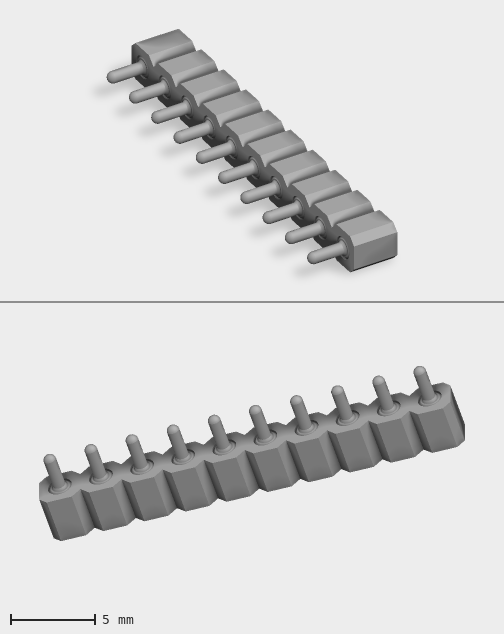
import cadquery as cq
import math

pin_count = 10
pitch = 2.55
body_length = pin_count * pitch
body_depth = 3.0
body_height = 2.55
end_chamfer = 0.45
notch_size = 0.53

shoulder_radius = 0.74
shoulder_bevel = 0.15
collar_radius = 0.48
collar_length = 0.15

stem_radius = 0.38
pin_reach = 2.41
tip_length = 0.3

first_pin_x = (pitch - body_length) / 2
pin_positions = [first_pin_x + i * pitch for i in range(pin_count)]
notch_positions = [x + pitch / 2 for x in pin_positions[:-1]]


def make_body():
    """Bar with chamfered ends; its front face lies on Y = 0."""
    body = cq.Workplane("XY").box(body_length, body_depth, body_height, centered=(True, False, True))
    return body.edges("|Y and (<X or >X)").chamfer(end_chamfer)


def make_notch(x, side):
    """V groove through the depth, in the top (side 1) or bottom (side -1) face."""
    face_z = side * body_height / 2
    root_z = face_z - side * notch_size
    outline = [(x - notch_size, face_z), (x + notch_size, face_z), (x, root_z)]
    return cq.Workplane("XZ").polyline(outline).close().extrude(-body_depth)


def make_pin_seat(x):
    """Shallow round pocket, just deep enough for the bevel of the shoulder."""
    return cq.Workplane("XZ").center(x, 0).circle(shoulder_radius).extrude(-shoulder_bevel)


def make_pin(x):
    """Turned pin pointing toward -Y, revolved about its own axis."""
    tip_start = tip_length - pin_reach
    dome_radius = (stem_radius**2 + tip_length**2) / (2 * tip_length)
    dome_center = dome_radius - pin_reach
    dome_mid = dome_radius * math.sqrt(0.5)
    profile = (
        cq.Workplane("XY")
        .moveTo(0, shoulder_bevel)
        .lineTo(shoulder_radius, shoulder_bevel)
        .lineTo(shoulder_radius - shoulder_bevel, 0)
        .lineTo(collar_radius, 0)
        .lineTo(stem_radius, -collar_length)
        .lineTo(stem_radius, tip_start)
        .threePointArc((dome_mid, dome_center - dome_mid), (0, -pin_reach))
        .close()
    )
    return profile.revolve(360, (0, 0, 0), (0, 1, 0)).translate((x, 0, 0))


result = make_body()
for notch_x in notch_positions:
    for notch_side in (1, -1):
        result = result.cut(make_notch(notch_x, notch_side))
for pin_x in pin_positions:
    result = result.cut(make_pin_seat(pin_x)).union(make_pin(pin_x))